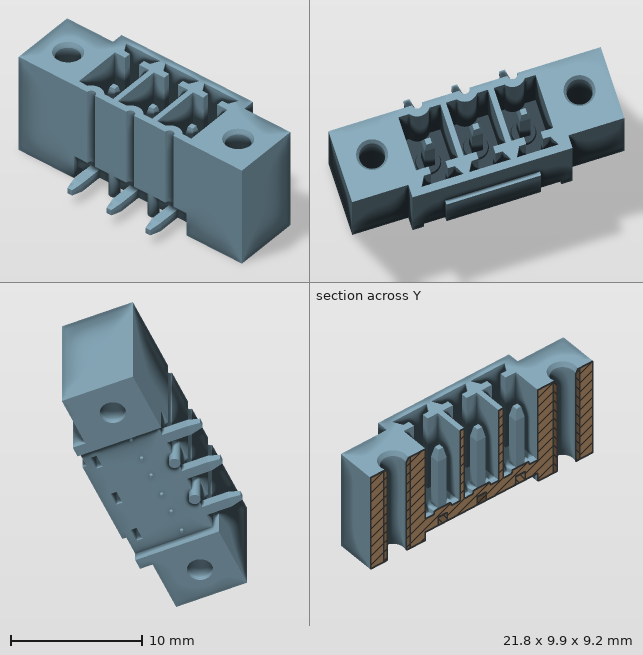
import cadquery as cq

housing_length = 21.82
housing_height = 9.2
block_depth = 5.91
bulge_length = 12.83
bulge_depth = 6.95
bottom_clearance = 0.8
front_relief_depth = 0.48

pitch = 3.82
contact_xs = [-pitch, 0.0, pitch]
contact_y = 2.8
cavity_width = 3.35
front_wall = 0.6
floor_top = 2.18
cavity_back = 5.0
neck_width = 1.35
neck_back = 5.59
dovetail_front_width = 2.49
dovetail_back = 6.37
slot_width = 1.13
slot_front = 5.87
middle_length = 2 * pitch + cavity_width

groove_diameter = 0.76
bump_diameter = 2.0

collar_diameter = 1.99
collar_top_diameter = 1.85
collar_height = 0.33

plate_length = 7.6
plate_height = 4.65
plate_thickness = 0.33
peg_diameter = 0.9
peg_xs = [-pitch / 2, pitch / 2]
foot_diameter = 0.3
foot_tip_diameter = 0.22
foot_height = 0.2
foot_offset = 1.0

pin_size = 0.85
pin_tip_size = 0.45
tail_height = 0.8
tail_tip_height = 0.52
pin_taper = 0.98
pin_reach = 2.62
pin_top = 8.15

insert_xs = [-8.31, 8.31]
insert_diameter = 2.7
insert_bore = 2.0
insert_chamfer_width = 0.22
insert_chamfer_depth = 0.4


def block(x_size, y_from, y_to, z_from, z_to, x_center=0.0):
    """Box centred on x_center, given by its Y and Z limits."""
    box = cq.Workplane("XY").box(x_size, y_to - y_from, z_to - z_from, centered=(True, False, False))
    return box.translate((x_center, y_from, z_from))


def cylinder(diameter, x, y, z_from, z_to):
    """Vertical cylinder between two heights."""
    return cq.Workplane("XY", origin=(x, y, z_from)).circle(diameter / 2).extrude(z_to - z_from)


def cone(bottom_diameter, top_diameter, x, y, z_from, z_to):
    """Vertical truncated cone between two heights."""
    base = cq.Vector(x, y, z_from)
    return cq.Workplane(cq.Solid.makeCone(bottom_diameter / 2, top_diameter / 2, z_to - z_from, base))


def make_shell():
    """Outer block with the rear bulge and plate, relieved under its middle and at the lower front."""
    shell = block(housing_length, 0, block_depth, 0, housing_height)
    shell = shell.union(block(bulge_length, 0, bulge_depth, 0, housing_height))
    shell = shell.cut(block(middle_length, 0, bulge_depth, 0, bottom_clearance))
    shell = shell.cut(block(middle_length, 0, front_relief_depth, 0, floor_top))
    plate_back = bulge_depth + plate_thickness
    return shell.union(
        block(plate_length, bulge_depth, plate_back, bottom_clearance, bottom_clearance + plate_height)
    )


def make_cavity(x):
    """Keyed cavity: contact chamber, narrow neck and dovetail, with a bump left on the front wall."""
    half = cavity_width / 2
    half_neck = neck_width / 2
    half_dovetail = dovetail_front_width / 2
    right_side = [
        (half, front_wall),
        (half, cavity_back),
        (half_neck, cavity_back),
        (half_neck, neck_back),
        (half_dovetail, neck_back),
        (half, dovetail_back),
    ]
    left_side = [(-px, py) for px, py in reversed(right_side)]
    cavity = (
        cq.Workplane("XY", origin=(x, 0, floor_top))
        .polyline(right_side + left_side)
        .close()
        .extrude(housing_height - floor_top)
    )
    return cavity.cut(cylinder(bump_diameter, x, 0, floor_top, housing_height))


def make_collar(x):
    """Tapered collar on the cavity floor around the contact."""
    return cone(collar_diameter, collar_top_diameter, x, contact_y, floor_top, floor_top + collar_height)


def make_foot(x):
    """Small tapered foot under the cavity floor."""
    foot_bottom = bottom_clearance - foot_height
    return cone(foot_tip_diameter, foot_diameter, x, contact_y, foot_bottom, bottom_clearance)


def make_pin(x):
    """Bent pin: contact upward, solder tail forward, both ends tapered."""
    half = pin_size / 2
    contact_shoulder = pin_top - pin_taper
    contact = block(pin_size, contact_y - half, contact_y + half, bottom_clearance, contact_shoulder, x)
    contact_tip = (
        cq.Workplane("XY", origin=(x, contact_y, contact_shoulder))
        .rect(pin_size, pin_size)
        .workplane(offset=pin_taper)
        .rect(pin_tip_size, pin_tip_size)
        .loft()
    )
    tail_shoulder = pin_taper - pin_reach
    tail_middle = bottom_clearance + tail_height / 2
    tail = block(pin_size, tail_shoulder, contact_y, bottom_clearance, bottom_clearance + tail_height, x)
    tail_tip = (
        cq.Workplane("XZ", origin=(x, tail_shoulder, tail_middle))
        .rect(pin_size, tail_height)
        .workplane(offset=pin_taper)
        .rect(pin_tip_size, tail_tip_height)
        .loft()
    )
    return contact.union(contact_tip).union(tail).union(tail_tip)


def make_insert(x):
    """Bushing through a mounting flange, with its bore chamfered at the top."""
    insert = cylinder(insert_diameter, x, contact_y, 0, housing_height)
    insert = insert.cut(cylinder(insert_bore, x, contact_y, 0, housing_height))
    mouth_diameter = insert_bore + 2 * insert_chamfer_width
    mouth_bottom = housing_height - insert_chamfer_depth
    return insert.cut(cone(insert_bore, mouth_diameter, x, contact_y, mouth_bottom, housing_height))


def make_housing(pins):
    """One-piece housing with cavities, pegs and feet, fitted around the pins and inserts."""
    housing = make_shell()
    for x in contact_xs:
        housing = housing.cut(make_cavity(x))
        housing = housing.cut(cylinder(groove_diameter, x, 0, floor_top, housing_height))
        housing = housing.cut(block(slot_width, slot_front, dovetail_back, 0, floor_top, x))
        housing = housing.union(make_collar(x))
        housing = housing.union(make_foot(x - foot_offset)).union(make_foot(x + foot_offset))
    for x in peg_xs:
        housing = housing.union(cylinder(peg_diameter, x, peg_diameter / 2, 0, floor_top))
    for pin in pins:
        housing = housing.cut(pin)
    for x in insert_xs:
        housing = housing.cut(cylinder(insert_diameter, x, contact_y, 0, housing_height))
    return housing


pins = [make_pin(x) for x in contact_xs]
inserts = [make_insert(x) for x in insert_xs]
housing = make_housing(pins)
result = cq.Compound.makeCompound(
    [housing.val(), *[pin.val() for pin in pins], *[insert.val() for insert in inserts]]
)